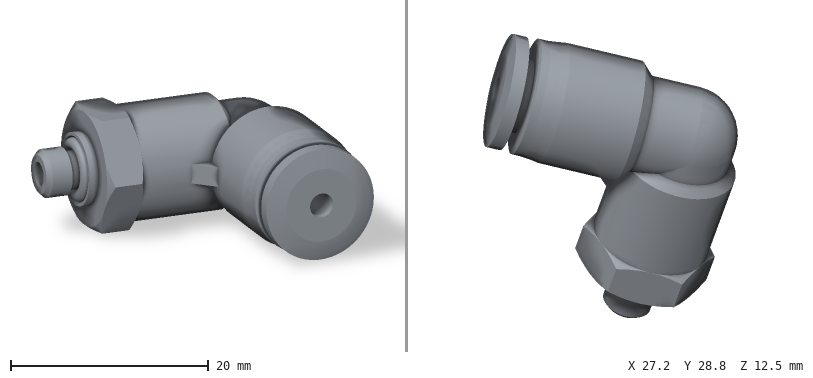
import cadquery as cq
import math


overall_length = 28.75
socket_diameter = 12.5
socket_radius = socket_diameter / 2

elbow_radius = 5.0
bore_radius = 1.26

sleeve_radius = 6.0
sleeve_cone_start = 2.45
sleeve_cone_end = 3.45
hex_start = 13.48
hex_end = 17.55
hex_corner_radius = sleeve_radius / math.cos(math.radians(30))
hex_chamfer_angle = 30.0
boss_radius = 3.8
boss_end = 18.52
recess_radius = 3.45
neck_radius = 2.0
thread_radius = 2.5
thread_start = 19.52
stud_end = overall_length - socket_radius
stud_chamfer = 0.5
thread_lead_in = 0.32

socket_cone_start = 5.12
socket_cone_end = socket_cone_start + socket_radius - elbow_radius
taper_start = 14.32
taper_end = 16.4
taper_end_radius = 6.0
socket_end = 17.42
socket_edge_length = 0.17
socket_edge_width = 0.45
collet_neck_radius = 3.85
flange_start = 18.52
flange_rim_end = 19.92
flange_end = 20.3
flange_radius = 5.9

rib_thickness = 2.0
rib_foot = 8.2

seal_outer_radius = 3.28
seal_end = 19.03
seal_section_radius = (seal_outer_radius - neck_radius) / 2
seal_ring_radius = neck_radius + seal_section_radius
seal_center = seal_end - seal_section_radius
recess_floor = seal_center - seal_section_radius


def revolve_about_stud(points):
    """Solid of revolution about Y from (radius, distance along -Y) points."""
    outline = [(radius, -distance) for radius, distance in points]
    return cq.Workplane("XY").polyline(outline).close().revolve(360, (0, 0), (0, 1))


def revolve_about_tube(points):
    """Solid of revolution about X from (distance along +X, radius) points."""
    return cq.Workplane("XY").polyline(points).close().revolve(360, (0, 0), (1, 0))


def make_stud_leg():
    return revolve_about_stud([
        (0, 0),
        (elbow_radius, 0),
        (elbow_radius, sleeve_cone_start),
        (sleeve_radius, sleeve_cone_end),
        (sleeve_radius, hex_end),
        (boss_radius, hex_end),
        (boss_radius, boss_end),
        (recess_radius, boss_end),
        (recess_radius, recess_floor),
        (neck_radius, recess_floor),
        (neck_radius, thread_start),
        (thread_radius, thread_start + thread_lead_in),
        (thread_radius, stud_end - stud_chamfer),
        (thread_radius - stud_chamfer, stud_end),
        (0, stud_end),
    ])


def make_hex():
    """Hexagon with its corners chamfered at both ends."""
    prism = (
        cq.Workplane("XZ", origin=(0, -hex_start, 0))
        .polygon(6, 2 * hex_corner_radius)
        .extrude(hex_end - hex_start)
    )
    chamfer_length = (hex_corner_radius - sleeve_radius) * math.tan(math.radians(hex_chamfer_angle))
    envelope = revolve_about_stud([
        (0, hex_start),
        (sleeve_radius, hex_start),
        (hex_corner_radius, hex_start + chamfer_length),
        (hex_corner_radius, hex_end - chamfer_length),
        (sleeve_radius, hex_end),
        (0, hex_end),
    ])
    return prism.intersect(envelope)


def make_tube_leg():
    return revolve_about_tube([
        (0, 0),
        (0, elbow_radius),
        (socket_cone_start, elbow_radius),
        (socket_cone_end, socket_radius),
        (taper_start, socket_radius),
        (taper_end, taper_end_radius),
        (socket_end - socket_edge_length, taper_end_radius),
        (socket_end, taper_end_radius - socket_edge_width),
        (socket_end, collet_neck_radius),
        (flange_start, collet_neck_radius),
        (flange_start, flange_radius),
        (flange_rim_end, flange_radius),
        (flange_end, collet_neck_radius),
        (flange_end, 0),
    ])


def make_rib():
    """Triangular web with a 45 degree face joining the two legs."""
    reach = sleeve_radius + rib_foot
    return (
        cq.Workplane("XY")
        .polyline([(elbow_radius, -elbow_radius), (elbow_radius, elbow_radius - reach),
                   (reach - elbow_radius, -elbow_radius)])
        .close()
        .extrude(rib_thickness / 2, both=True)
    )


def make_bore():
    """Passage through both legs with a spherical turn at the origin."""
    stud_bore = cq.Workplane("XZ").circle(bore_radius).extrude(stud_end)
    tube_bore = cq.Workplane("YZ").circle(bore_radius).extrude(flange_end)
    return stud_bore.union(tube_bore).union(cq.Workplane("XY").sphere(bore_radius))


def make_fitting():
    return (
        make_stud_leg()
        .union(make_tube_leg())
        .union(cq.Workplane("XY").sphere(elbow_radius))
        .union(make_hex())
        .union(make_rib())
        .cut(make_bore())
    )


def make_seal():
    """O-ring standing slightly out of the boss recess."""
    return (
        cq.Workplane("XY")
        .center(seal_ring_radius, -seal_center)
        .circle(seal_section_radius)
        .revolve(360, (-seal_ring_radius, 0), (-seal_ring_radius, 1))
    )


fitting = make_fitting()
seal = make_seal()
result = cq.Compound.makeCompound([fitting.solids().val(), seal.val()])